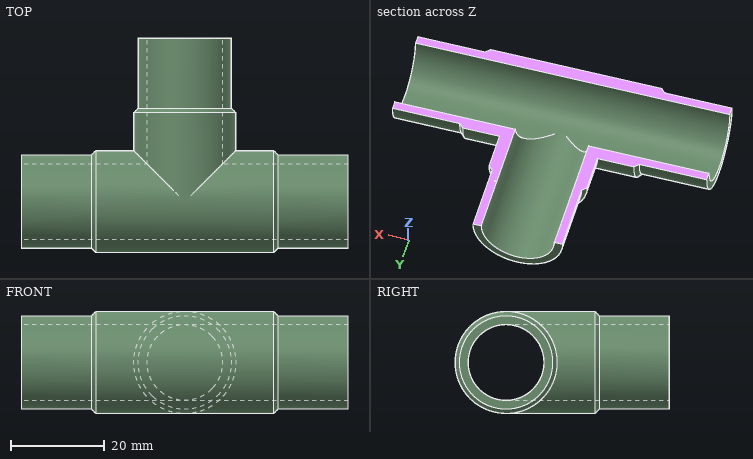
import cadquery as cq

body_diameter = 21.9
spigot_diameter = 20.0
bore_diameter = 16.2
arm_length = 35.0
spigot_length = 15.0

body_radius = body_diameter / 2
spigot_radius = spigot_diameter / 2
bore_radius = bore_diameter / 2
shoulder_end = arm_length - spigot_length
shoulder_start = shoulder_end - (body_radius - spigot_radius)


def run_outside():
    """Solid straight run along X, with a spigot and conical shoulder at both ends."""
    profile = (
        cq.Workplane("XY")
        .moveTo(-arm_length, 0)
        .lineTo(-arm_length, spigot_radius)
        .lineTo(-shoulder_end, spigot_radius)
        .lineTo(-shoulder_start, body_radius)
        .lineTo(shoulder_start, body_radius)
        .lineTo(shoulder_end, spigot_radius)
        .lineTo(arm_length, spigot_radius)
        .lineTo(arm_length, 0)
        .close()
    )
    return profile.revolve(360, (0, 0, 0), (1, 0, 0))


def branch_outside():
    """Solid branch along +Y, from the tee centre to its spigot end."""
    profile = (
        cq.Workplane("XY")
        .moveTo(0, 0)
        .lineTo(body_radius, 0)
        .lineTo(body_radius, shoulder_start)
        .lineTo(spigot_radius, shoulder_end)
        .lineTo(spigot_radius, arm_length)
        .lineTo(0, arm_length)
        .close()
    )
    return profile.revolve(360, (0, 0, 0), (0, 1, 0))


def bores():
    """Through bore of the run joined to the bore of the branch."""
    run_bore = cq.Workplane("YZ").circle(bore_radius).extrude(arm_length, both=True)
    branch_bore = cq.Workplane("XZ").circle(bore_radius).extrude(-arm_length)
    return run_bore.union(branch_bore)


result = run_outside().union(branch_outside()).cut(bores())